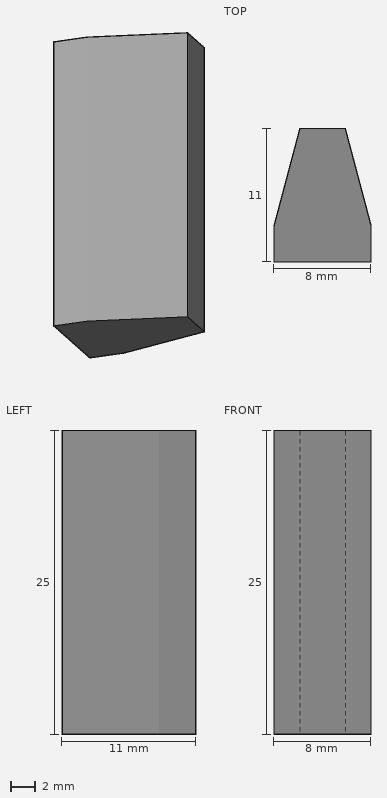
import cadquery as cq

width = 8.0
depth = 11.0
height = 25.0

straight_depth = 3.0
back_width = 3.75

half_profile = [
    (0, -depth / 2),
    (width / 2, -depth / 2),
    (width / 2, -depth / 2 + straight_depth),
    (back_width / 2, depth / 2),
    (0, depth / 2),
]

result = (
    cq.Workplane("XY")
    .polyline(half_profile)
    .mirrorY()
    .extrude(height / 2, both=True)
)